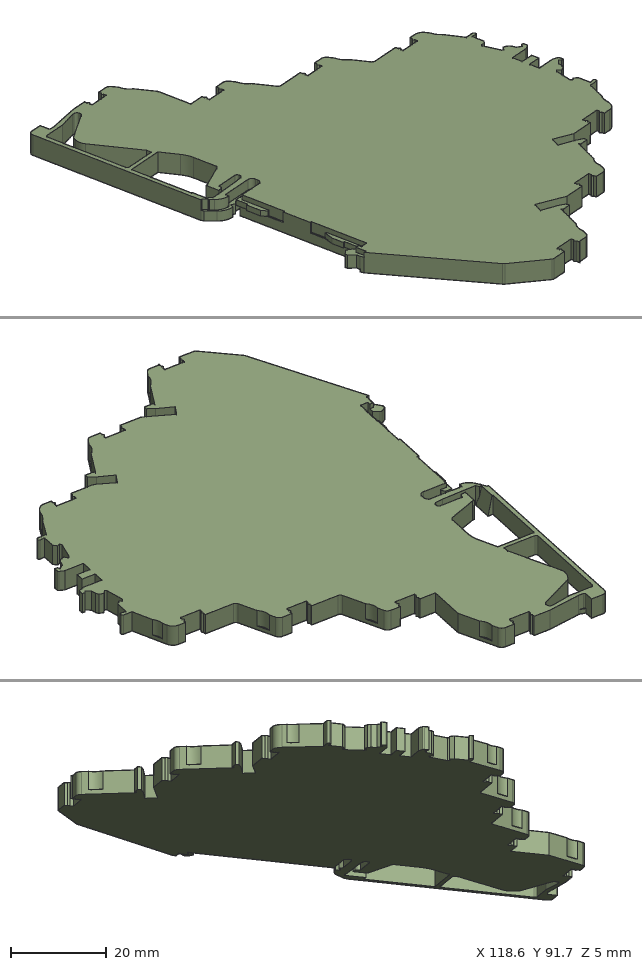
import cadquery as cq
import math

THICKNESS = 5.0
TOTAL_LENGTH = 118.57
TOTAL_HEIGHT = 91.67
SLOPE = math.tan(math.radians(25.5))

LEFT_STEPS = [(1.5, 22.2), (19.7, 38.75), (30.1, 58.95), (39.7, 79.2)]
SYMMETRY_X = 65.2
RIGHT_PITCH_X = 13.25
RIGHT_PITCH_Y = 23.5
NIB = 0.27
RIGHT_WALL_LOW = TOTAL_LENGTH - NIB
RIGHT_NOTCH_LOW = 34.0
RIGHT_STEPS = [
    (RIGHT_WALL_LOW - RIGHT_PITCH_X, RIGHT_NOTCH_LOW + RIGHT_PITCH_Y),
    (RIGHT_WALL_LOW, RIGHT_NOTCH_LOW),
]
SLOT_OFFSET_X = 16.55
SLOT_OFFSET_Y = 6.6
SLOT_GRADIENT = 2.05
RIGHT_SLOPE_RUN = 11.15
STEP_LIP = 3.2
STEP_ROUND = 1.4
TOP_STEP_ROUND = 2.2
INNER_ROUND = 0.9
TREAD_Y = 30.0

NOTCH_HEIGHT = 4.9
NOTCH_DEPTH = 2.0
BEAD_RADIUS = 0.3

DISH_OFFSET = 3.5
DISH_CHORD = 3.0
DISH_DEPTH = 0.35
DISH_FLOOR_Z = 1.0

FOOT_BAR = 1.1
FOOT_BLOCK_Y = 3.95
LEFT_ARM_X = 2.55
POST_WIDTH = 1.0
POST_X = 25.1
CAVITY_TOP = 12.9
ARM_INNER_X = 46.6
ARM_OUTER_X = 48.65
RAIL_SLOT_RIGHT = 50.45
RAIL_SLOT_TOP = 13.15
RAIL_Y = 6.43
FOOT_END_X = 49.6
FOOT_END_ROUND = 4.0
FOOT_BAR_END = 45.1

HOOK_ROOT_X = 84.3
HOOK_TOP_Y = 5.0
HOOK_BOTTOM_Z = 0.6

RELIEF_Z = 2.45
RELIEF_DEPTH = 0.4
RELIEF_LEFT_END = 61.8
RELIEF_RIGHT_START = 68.9
RELIEF_RIGHT_END = 83.35
RIB_TOP_Z = 3.8
RIB_LEFT_START = 49.7
RIB_RIGHT_END = 82.8


def toward(start, end, distance):
    """Point at the given distance from start in the direction of end."""
    length = math.dist(start, end)
    return tuple(s + (e - s) * distance / length for s, e in zip(start, end))


def rounded_profile(points):
    """Closed XY outline; a point (x, y, r) gets a tangent arc of radius r."""
    segments = []
    for index, point in enumerate(points):
        corner = point[:2]
        if len(point) == 2:
            segments.append((corner,))
            continue
        radius = point[2]
        before = points[index - 1][:2]
        after = points[(index + 1) % len(points)][:2]
        to_before = toward(corner, before, 1.0)
        to_after = toward(corner, after, 1.0)
        middle = [(a + b) / 2 for a, b in zip(to_before, to_after)]
        half_angle = math.asin(math.dist(to_before, to_after) / 2)
        setback = radius / math.tan(half_angle)
        apex = toward(corner, middle, radius / math.sin(half_angle) - radius)
        segments.append((toward(corner, before, setback), apex, toward(corner, after, setback)))

    sketch = cq.Workplane("XY").moveTo(*segments[0][-1])
    for segment in segments[1:] + segments[:1]:
        sketch = sketch.lineTo(*segment[0])
        if len(segment) == 3:
            sketch = sketch.threePointArc(segment[1], segment[2])
    return sketch.close()


def prism(points, bottom=0.0, top=THICKNESS):
    return rounded_profile(points).extrude(top - bottom).translate((0, 0, bottom))


def block(x_min, x_max, y_min, y_max, bottom=0.0, top=THICKNESS):
    size = (x_max - x_min, y_max - y_min, top - bottom)
    return cq.Workplane("XY").box(*size, centered=False).translate((x_min, y_min, bottom))


def left_flank():
    """Steps from the foot block up to the crown."""
    points = [
        (0, 0, 1.1),
        (0, FOOT_BLOCK_Y),
        (LEFT_ARM_X, FOOT_BLOCK_Y, 0.3),
        (LEFT_ARM_X, 5.5),
        (LEFT_STEPS[0][0], 13.4),
    ]
    for index, (wall, notch_top) in enumerate(LEFT_STEPS):
        corner_y = notch_top + STEP_LIP
        is_top = index == len(LEFT_STEPS) - 1
        points.append((wall, corner_y, TOP_STEP_ROUND if is_top else STEP_ROUND))
        if is_top:
            break
        next_wall = LEFT_STEPS[index + 1][0]
        if index == 0:
            points.append((wall + (TREAD_Y - corner_y) / SLOPE, TREAD_Y))
            points.append((next_wall, TREAD_Y))
        else:
            points.append((next_wall, corner_y + (next_wall - wall) * SLOPE, INNER_ROUND))
    return points


def crown_half():
    """Left half of the crown as (distance from the symmetry axis, y)."""
    deck = 87.5
    groove_floor = 85.65
    return [
        (16.25, 86.5), (16.25, 89.0, 0.4), (15.3, 89.0, 0.3), (15.5, deck),
        (12.4, deck), (11.6, 86.75), (11.9, 86.1), (11.5, 85.75),
        (7.2, 86.8), (6.9, 87.2), (7.65, 87.9), (7.3, 88.9), (6.7, 89.3), (5.5, 89.6),
        (4.7, 90.7), (5.25, 91.0), (5.25, TOTAL_HEIGHT), (4.05, TOTAL_HEIGHT, 0.3),
        (3.5, 90.3), (3.5, groove_floor), (0.95, groove_floor), (0.95, 88.9),
    ]


def crown():
    half = crown_half()
    left = [(SYMMETRY_X - p[0], *p[1:]) for p in half]
    right = [(SYMMETRY_X + p[0], *p[1:]) for p in reversed(half)]
    return left + right


def right_flank():
    """Topmost right step, then two steps that each start with a slanted slot and a hook."""
    top_wall = 2 * SYMMETRY_X - LEFT_STEPS[-1][0]
    points = [(top_wall, LEFT_STEPS[-1][1] + STEP_LIP, TOP_STEP_ROUND)]
    wall_above = top_wall
    for wall, notch_top in RIGHT_STEPS:
        slot_x = wall - SLOT_OFFSET_X
        slot_y = notch_top + SLOT_OFFSET_Y
        mouth_y = slot_y + (wall_above - slot_x) * SLOT_GRADIENT
        hook_x = slot_x + 5.9
        hook_y = slot_y + 4.2
        slope_start = wall - RIGHT_SLOPE_RUN
        points += [
            (wall_above, mouth_y),
            (slot_x, slot_y),
            (slot_x + 2.4, slot_y - 1.2),
            (slot_x + 4.1, slot_y + 2.6),
            (hook_x - 0.8, hook_y),
            (hook_x, hook_y),
            (hook_x, hook_y - 2.1),
            (slope_start, notch_top + STEP_LIP + (wall - slope_start) * SLOPE),
            (wall, notch_top + STEP_LIP, STEP_ROUND),
        ]
        wall_above = wall
    points += [(RIGHT_WALL_LOW, 25.2, 0.8), (111.3, 17.4, 1.5), (85.2, 3.45)]
    return points


def rail_side():
    """Fixed rail hook, rail seat, rail slot and the rounded end of the foot."""
    slot_round = 0.8
    return [
        (HOOK_ROOT_X, 3.3), (83.4, 3.3), (82.0, 2.1), (81.3, 2.1),
        (80.4, 3.5, 0.5), (81.5, HOOK_TOP_Y),
        (82.4, HOOK_TOP_Y, 0.3), (RIB_RIGHT_END, RAIL_Y),
        (RAIL_SLOT_RIGHT, RAIL_Y), (RAIL_SLOT_RIGHT, RAIL_SLOT_TOP, slot_round),
        (ARM_OUTER_X, RAIL_SLOT_TOP, slot_round), (ARM_OUTER_X, 7.3),
        (49.3, 6.5), (48.7, 5.7), (FOOT_END_X, 5.1),
        (FOOT_END_X, 3.0, FOOT_END_ROUND), (45.8, 0.2), (FOOT_BAR_END, 0),
    ]


def left_cavity():
    """Opening between the lower left step, the foot bar and the post."""
    return [
        (2.7, 11.5), (2.65, CAVITY_TOP, 0.7), (4.1, CAVITY_TOP, 0.6), (8.5, 4.2, 1.0),
        (10.8, 3.1, 3.0), (23.8, 9.3), (POST_X, 9.3), (POST_X, FOOT_BAR, 0.5),
        (3.6, FOOT_BAR, 0.6), (3.6, 7.0),
    ]


def right_cavity():
    """Opening between the post and the latch arm, with a narrow slot beside the arm."""
    start = POST_X + POST_WIDTH
    finger_y = 5.35
    slot_left = 44.7
    slot_round = 0.6
    return [
        (start, FOOT_BAR), (start, 10.2), (31.9, CAVITY_TOP, 7.0), (39.7, CAVITY_TOP, 0.6),
        (42.4, 5.8), (42.4, finger_y), (45.8, finger_y), (45.6, 6.6, 0.4), (slot_left, 6.8),
        (slot_left, CAVITY_TOP, slot_round), (46.1, CAVITY_TOP, slot_round), (46.4, 10.6),
        (ARM_INNER_X, 2.3), (45.8, 1.8), (45.8, FOOT_BAR),
    ]


def notch(wall, top, inward):
    """Cutter for a marker notch; inward is +1 on left walls and -1 on right walls."""
    bottom = top - NOTCH_HEIGHT
    inner = wall + inward * NOTCH_DEPTH
    outer = wall - inward
    cutter = block(min(inner, outer), max(inner, outer), bottom, top)
    bead_x = wall + inward * NOTCH_DEPTH / 2
    beads = cq.Workplane("XY").pushPoints([(bead_x, bottom), (bead_x, top)])
    return cutter.cut(beads.circle(BEAD_RADIUS).extrude(THICKNESS))


def dish(wall, notch_top, inward):
    """Cutter for the shallow wire entry dish in the slope above a notch."""
    half_chord = DISH_CHORD / 2
    radius = (half_chord ** 2 + DISH_DEPTH ** 2) / (2 * DISH_DEPTH)
    slope_angle = math.atan(SLOPE)
    lift = radius - DISH_DEPTH
    x = wall + inward * (DISH_OFFSET - lift * math.sin(slope_angle))
    y = notch_top + STEP_LIP + DISH_OFFSET * SLOPE + lift * math.cos(slope_angle)
    cylinder = cq.Workplane("XY").circle(radius).extrude(THICKNESS - DISH_FLOOR_Z)
    return cylinder.translate((x, y, DISH_FLOOR_Z))


def rail_relief():
    """Cutter that sets back the rail seat and the latch arm in the upper half."""
    seat_y = RAIL_Y + RELIEF_DEPTH
    arm_x = ARM_OUTER_X - 0.75
    slot_right = RAIL_SLOT_RIGHT + 0.3
    slot_top = RAIL_SLOT_TOP + 0.5
    below_y = 4.8
    slot = prism(
        [(arm_x, below_y), (arm_x, slot_top, 1.1), (slot_right, slot_top, 1.1), (slot_right, below_y)],
        RELIEF_Z,
    )
    setback = 0.8
    inner_end = FOOT_END_X - setback
    kept_end = prism([
        (POST_X, 0), (FOOT_BAR_END, 0), (FOOT_BAR_END, 0.35),
        (inner_end, 2.9, FOOT_END_ROUND - 0.5), (inner_end, below_y), (POST_X, below_y),
    ])
    foot_end = block(POST_X, RAIL_SLOT_RIGHT, 0, below_y, RELIEF_Z).cut(kept_end)
    seat_left = block(RAIL_SLOT_RIGHT, RELIEF_LEFT_END, below_y, seat_y, RELIEF_Z)
    seat_right = block(RELIEF_RIGHT_START, RELIEF_RIGHT_END, HOOK_TOP_Y, seat_y, RELIEF_Z)
    return slot.union(foot_end).union(seat_left).union(seat_right)


def rail_ribs():
    """Two thin ribs with a stepped pad that bear on the rail."""
    seat_y = RAIL_Y + RELIEF_DEPTH
    low = 6.1
    pad = 5.7
    left = [
        (RIB_LEFT_START, low), (RIB_LEFT_START, 7.7), (RAIL_SLOT_RIGHT, 8.3),
        (RAIL_SLOT_RIGHT + 0.5, 8.3), (RAIL_SLOT_RIGHT + 0.5, seat_y), (57.8, seat_y),
        (57.8, RAIL_Y), (56.4, pad), (52.7, pad), (52.7, low),
    ]
    right = [
        (72.8, seat_y), (RELIEF_RIGHT_END, seat_y), (RIB_RIGHT_END, low), (78.1, low),
        (78.1, pad), (75.2, pad), (72.8, RAIL_Y),
    ]
    return prism(left, RELIEF_Z, RIB_TOP_Z).union(prism(right, RELIEF_Z, RIB_TOP_Z))


def foot_ramp():
    """Small ramp on the inner face of the foot bar, falling away from the bar."""
    start_x = 41.8
    length = 4.6
    toe_y = 2.3
    crest_y = FOOT_BAR + 0.2
    ramp = cq.Workplane("YZ").moveTo(FOOT_BAR, 0).lineTo(toe_y, 0).lineTo(crest_y, THICKNESS)
    ramp = ramp.lineTo(FOOT_BAR, THICKNESS).close()
    return ramp.extrude(length).translate((start_x, 0, 0))


def foot_gusset():
    """Small web at the bottom of the corner between the foot block and the left arm."""
    width = 0.4
    height = 1.2
    corners = [(LEFT_ARM_X - width, FOOT_BLOCK_Y), (LEFT_ARM_X, FOOT_BLOCK_Y), (LEFT_ARM_X, 5.2)]
    return prism(corners, top=height)


def hook_relief():
    """Cutter that sets the rail hook back from the top and the bottom face."""
    hook_left = 80.0
    hook_low = 1.0
    nose_end = 82.6
    heel_end = 85.2
    heel_high = 4.1
    undercut = block(hook_left, HOOK_ROOT_X, hook_low, HOOK_TOP_Y, 0, HOOK_BOTTOM_Z)
    nose_step = block(hook_left, nose_end, hook_low, HOOK_TOP_Y, RIB_TOP_Z)
    heel_step = block(hook_left, heel_end, hook_low, heel_high, RIB_TOP_Z)
    return undercut.union(nose_step).union(heel_step)


def wall_nib():
    """Small nib at the upper edge of the last right-hand notch."""
    x = RIGHT_WALL_LOW
    y = RIGHT_NOTCH_LOW
    return prism([(x - NIB, y), (x + NIB, y), (x, y + NIB), (x - NIB, y + NIB)])


result = prism(left_flank() + crown() + right_flank() + rail_side())
result = result.cut(prism(left_cavity())).cut(prism(right_cavity()))

top_right_step = (2 * SYMMETRY_X - LEFT_STEPS[-1][0], LEFT_STEPS[-1][1])
steps = [(*step, 1) for step in LEFT_STEPS]
steps += [(*step, -1) for step in [top_right_step] + RIGHT_STEPS]
for step_wall, step_notch_top, step_inward in steps:
    result = result.cut(notch(step_wall, step_notch_top, step_inward))
    result = result.cut(dish(step_wall, step_notch_top, step_inward))

result = result.cut(rail_relief()).union(rail_ribs())
result = result.cut(hook_relief()).union(foot_ramp()).union(foot_gusset()).union(wall_nib())